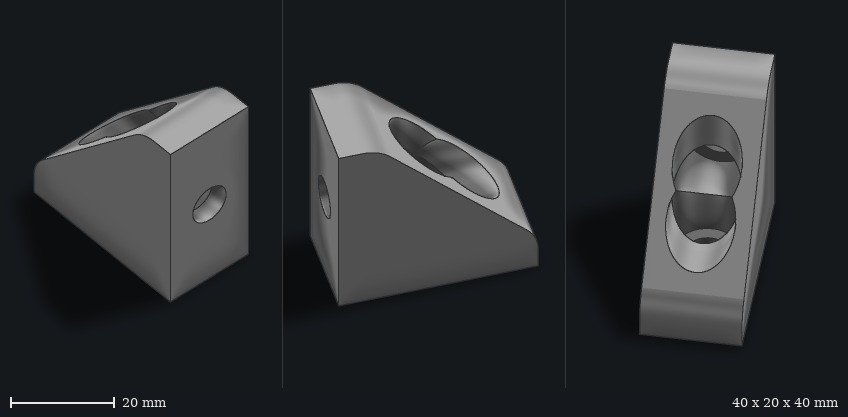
import cadquery as cq

side = 40.0
thickness = 20.0
end_height = 8.0
corner_radius = 8.0
bolt_position = side / 2
bolt_diameter = 8.5
head_diameter = 13.5
seat_distance = 4.0


def wedge_body():
    """Triangular block with its right angle at (+X, -Z)."""
    outline = [
        (0, 0),
        (side, 0),
        (side, side),
        (side - end_height, side),
        (0, end_height),
    ]
    body = cq.Workplane("XZ").polyline(outline).close().extrude(thickness / 2, both=True)
    sloped_face = body.faces("<(1, 0, -1)")
    return sloped_face.edges("|Y").fillet(corner_radius)


def bolt_cutter(mounting_point, direction):
    """Through hole and head counterbore, running inward from a mounting face."""
    start = cq.Vector(*mounting_point)
    axis = cq.Vector(*direction)
    hole = cq.Solid.makeCylinder(bolt_diameter / 2, side, start, axis)
    seat = start + axis * seat_distance
    counterbore = cq.Solid.makeCylinder(head_diameter / 2, side, seat, axis)
    return cq.Workplane(obj=hole).union(cq.Workplane(obj=counterbore))


result = wedge_body()
result = result.cut(bolt_cutter((bolt_position, 0, 0), (0, 0, 1)))
result = result.cut(bolt_cutter((side, 0, bolt_position), (-1, 0, 0)))